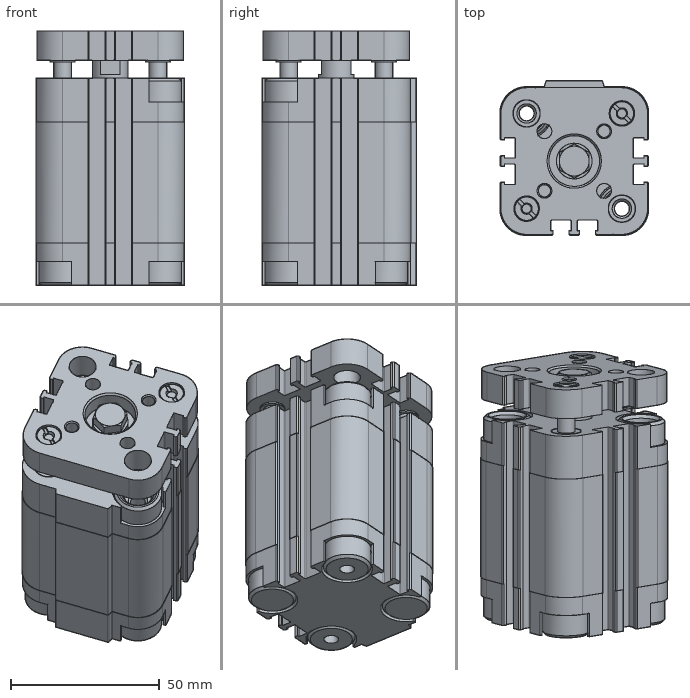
import cadquery as cq
import math

lower_cap_top = 14.3
upper_cap_bottom = 54.9
housing_top = 69.6
plate_bottom = 75.6
plate_top = 85.5

barrel_half = 50.0 / 2
cap_half = 49.8 / 2
plate_half = 49.25 / 2
corner_axis = 16.0

slot_floor = 19.8
slot_lip = 23.3
slot_centre = 4.45
slot_mouth_width = 5.3
slot_width = 6.75
slot_floor_radius = 0.25
slot_chamfer = 0.4
slot_angles = (0, 90, -90)

rail_height = 2.0
rail_base_half = 10.1
rail_top_half = 9.5
rail_edge_radius = 0.3

boss_diameter = 16.0
boss_height = 8.0
boss_chamfer = 0.9
boss_clearance_diameter = 17.0
boss_inner_side = 13.1

mount_mouth_diameter = 12.8
mount_ledge_diameter = 10.8
mount_ledge_depth = 2.6
mount_bore_diameter = 9.2
mount_bore_depth = 5.1
mount_hole_mouth = 6.5
mount_hole_diameter = 5.0

piston_rod_diameter = 12.0
rod_flat_width = 10.0
rod_flat_bottom = 70.9
guide_rod_diameter = 6.0
guide_seat_diameter = 10.1
guide_seat_depth = 0.2
guide_collar_diameter = 8.4
guide_collar_height = 0.6

head_recess_diameter = 17.0
head_recess_depth = 6.3
head_recess_chamfer = 0.6
head_width = 10.0
head_drop = 0.5
head_bevel_height = 0.4
washer_height = 2.2

screw_recess_diameter = 8.55
screw_recess_depth = 0.85
screw_face_diameter = 7.9
screw_face_depth = 0.4
screw_socket_mouth = 3.8
screw_socket_bottom = 3.1
screw_socket_depth = 1.1
screw_slot_width = 1.2
screw_slot_depth = 0.85

plate_corner_hole = 9.0
small_hole_axis = 10.0
clearance_hole = 5.0
tapped_hole = 4.1
tapped_hole_mouth = 5.0

rod_corners = [(-corner_axis, -corner_axis), (corner_axis, corner_axis)]
mount_corners = [(corner_axis, -corner_axis), (-corner_axis, corner_axis)]


def cylinder(diameter, bottom, top, centre=(0, 0)):
    return cq.Workplane("XY", origin=(*centre, bottom)).circle(diameter / 2).extrude(top - bottom)


def cone(bottom_diameter, top_diameter, bottom, top, centre=(0, 0)):
    axis_start = cq.Vector(*centre, bottom)
    solid = cq.Solid.makeCone(bottom_diameter / 2, top_diameter / 2, top - bottom, axis_start)
    return cq.Workplane(obj=solid)


def slot_pair(half, bottom, top):
    """Two T-slots with chamfered mouths, open to the -Y side of a block."""
    mouth = slot_mouth_width / 2
    wide = slot_width / 2
    flare = mouth + slot_chamfer
    right_side = [
        (wide, -slot_floor),
        (wide, -slot_lip),
        (mouth, -slot_lip),
        (mouth, slot_chamfer - half),
        (flare, -half),
        (flare, -half - 0.85),
    ]
    outline = right_side + [(-x, y) for x, y in reversed(right_side)]
    pair = cq.Workplane("XY")
    for centre in (-slot_centre, slot_centre):
        slot = (
            cq.Workplane("XY", origin=(centre, 0, bottom))
            .polyline(outline)
            .close()
            .extrude(top - bottom)
            .edges("|Z and >Y")
            .fillet(slot_floor_radius)
        )
        pair = pair.add(slot)
    return pair.combine()


def square_block(half, bottom, top):
    """Square block with its corners rounded about the corner axes."""
    return (
        cq.Workplane("XY", origin=(0, 0, bottom))
        .rect(2 * half, 2 * half)
        .extrude(top - bottom)
        .edges("|Z")
        .fillet(half - corner_axis)
    )


def cut_slots(block, half, bottom, top):
    pair = slot_pair(half, bottom, top)
    for angle in slot_angles:
        block = block.cut(pair.rotate((0, 0, 0), (0, 0, 1), angle))
    return block


def rail(half, bottom, top):
    """Tapered rail standing on the +Y face of a block."""
    outer = half + rail_height
    return (
        cq.Workplane("XY", origin=(0, 0, bottom))
        .polyline([
            (-rail_base_half, half - 0.85),
            (rail_base_half, half - 0.85),
            (rail_base_half, half),
            (rail_top_half, outer),
            (-rail_top_half, outer),
            (-rail_base_half, half),
        ])
        .close()
        .extrude(top - bottom)
        .edges("|Z and >Y")
        .fillet(rail_edge_radius)
    )


def section(half, bottom, top):
    """Stretch of the housing: slotted square with a rail."""
    block = cut_slots(square_block(half, bottom, top), half, bottom, top)
    return block.union(rail(half, bottom, top))


def corner_notch(centre, end_face, inward):
    """Material removed around one corner boss; inward is the Z direction into the housing."""
    step = end_face + inward * boss_height
    bottom = min(end_face, step)
    side_x = math.copysign(boss_inner_side, centre[0])
    side_y = math.copysign(boss_inner_side, centre[1])
    notch_size = barrel_half
    notch = (
        cq.Workplane("XY", origin=(0, 0, bottom))
        .center(side_x, side_y)
        .rect(math.copysign(notch_size, side_x), math.copysign(notch_size, side_y), centered=False)
        .extrude(boss_height)
    )
    clearance = cylinder(boss_clearance_diameter, bottom, bottom + boss_height, centre)
    boss = cylinder(boss_diameter, bottom, bottom + boss_height, centre)
    end_selector = ">Z" if inward < 0 else "<Z"
    chamfered_boss = boss.faces(end_selector).chamfer(boss_chamfer)
    return notch.union(clearance).cut(chamfered_boss)


def mounting_bore(centre):
    """Countersunk stepped bore that continues as a through hole."""
    mouth_depth = (mount_mouth_diameter - mount_ledge_diameter) / 2
    seat = housing_top - mount_bore_depth
    hole_mouth_depth = (mount_hole_mouth - mount_hole_diameter) / 2
    return (
        cone(mount_ledge_diameter, mount_mouth_diameter, housing_top - mouth_depth, housing_top, centre)
        .union(cylinder(mount_ledge_diameter, housing_top - mount_ledge_depth, housing_top, centre))
        .union(cylinder(mount_bore_diameter, seat, housing_top, centre))
        .union(cone(mount_hole_diameter, mount_hole_mouth, seat - hole_mouth_depth, seat, centre))
        .union(cylinder(mount_hole_diameter, 0, housing_top, centre))
    )


def make_housing():
    housing = (
        section(cap_half, 0, lower_cap_top)
        .union(section(barrel_half, lower_cap_top, upper_cap_bottom))
        .union(section(cap_half, upper_cap_bottom, housing_top))
    )
    for centre in rod_corners + mount_corners:
        housing = housing.cut(corner_notch(centre, 0, 1))
    for centre in mount_corners:
        housing = housing.cut(corner_notch(centre, housing_top, -1))
        housing = housing.cut(mounting_bore(centre))
    housing = housing.cut(cylinder(piston_rod_diameter, upper_cap_bottom, housing_top))
    for centre in rod_corners:
        housing = housing.cut(cylinder(guide_rod_diameter, upper_cap_bottom, housing_top, centre))
        housing = housing.cut(
            cylinder(guide_seat_diameter, housing_top - guide_seat_depth, housing_top, centre)
        )
    return housing


def piston_rod():
    """Round rod with two flats facing -Y and +Y below the plate."""
    round_part = cylinder(piston_rod_diameter, upper_cap_bottom, rod_flat_bottom)
    flat_part = cylinder(piston_rod_diameter, rod_flat_bottom, plate_bottom).intersect(
        cq.Workplane("XY", origin=(0, 0, rod_flat_bottom))
        .rect(piston_rod_diameter, rod_flat_width)
        .extrude(plate_bottom - rod_flat_bottom)
    )
    return round_part.union(flat_part)


def guide_rod(centre):
    rod = cylinder(guide_rod_diameter, upper_cap_bottom, plate_bottom, centre)
    collar = cylinder(guide_collar_diameter, plate_bottom - guide_collar_height, plate_bottom, centre)
    return rod.union(collar)


def hexagon_head():
    """Bevelled hexagon on a round washer face, with two of its flats facing -X and +X."""
    bottom = plate_top - head_recess_depth
    top = plate_top - head_drop
    corner_diameter = head_width / math.cos(math.pi / 6)
    hexagon = (
        cq.Workplane("XY", origin=(0, 0, bottom))
        .transformed(rotate=(0, 0, 30))
        .polygon(6, corner_diameter)
        .extrude(top - bottom)
    )
    bevel_bottom = top - head_bevel_height
    envelope = cylinder(corner_diameter, bottom, bevel_bottom).union(
        cone(corner_diameter, head_width, bevel_bottom, top)
    )
    washer = cylinder(piston_rod_diameter, bottom, bottom + washer_height)
    return hexagon.intersect(envelope).union(washer)


def screw_recess(centre):
    """Material removed above a slotted screw with a bevelled rim and a round socket."""
    recess_floor = plate_top - screw_recess_depth
    face = plate_top - screw_face_depth
    recess = cylinder(screw_recess_diameter, recess_floor, plate_top, centre)
    recess = recess.cut(cone(screw_recess_diameter, screw_face_diameter, recess_floor, face, centre))
    socket = cone(screw_socket_bottom, screw_socket_mouth, face - screw_socket_depth, face, centre)
    slot = (
        cq.Workplane("XY", origin=(*centre, face - screw_slot_depth))
        .transformed(rotate=(0, 0, -45))
        .rect(screw_face_diameter, screw_slot_width)
        .extrude(screw_slot_depth)
    )
    return recess.union(socket).union(slot)


def tapped_hole_cutter(centre):
    mouth_depth = (tapped_hole_mouth - tapped_hole) / 2
    return cylinder(tapped_hole, plate_bottom, plate_top, centre).union(
        cone(tapped_hole, tapped_hole_mouth, plate_top - mouth_depth, plate_top, centre)
    )


def make_yoke():
    """End plate with its piston rod, guide rods and screws."""
    block = square_block(plate_half, plate_bottom, plate_top)
    plate = cut_slots(block, plate_half, plate_bottom, plate_top)

    recess_floor = plate_top - head_recess_depth
    recess_mouth = head_recess_diameter + 2 * head_recess_chamfer
    plate = plate.cut(cylinder(head_recess_diameter, recess_floor, plate_top))
    plate = plate.cut(
        cone(head_recess_diameter, recess_mouth, plate_top - head_recess_chamfer, plate_top)
    )
    plate = plate.union(hexagon_head())

    for centre in mount_corners:
        small_centre = tuple(math.copysign(small_hole_axis, c) for c in centre)
        plate = plate.cut(cylinder(plate_corner_hole, plate_bottom, plate_top, centre))
        plate = plate.cut(cylinder(clearance_hole, plate_bottom, plate_top, small_centre))

    plate = plate.union(piston_rod())
    for centre in rod_corners:
        small_centre = tuple(math.copysign(small_hole_axis, c) for c in centre)
        plate = plate.cut(screw_recess(centre))
        plate = plate.cut(tapped_hole_cutter(small_centre))
        plate = plate.union(guide_rod(centre))
    return plate


housing = make_housing()
yoke = make_yoke()

result = cq.Compound.makeCompound([housing.val(), yoke.val()])